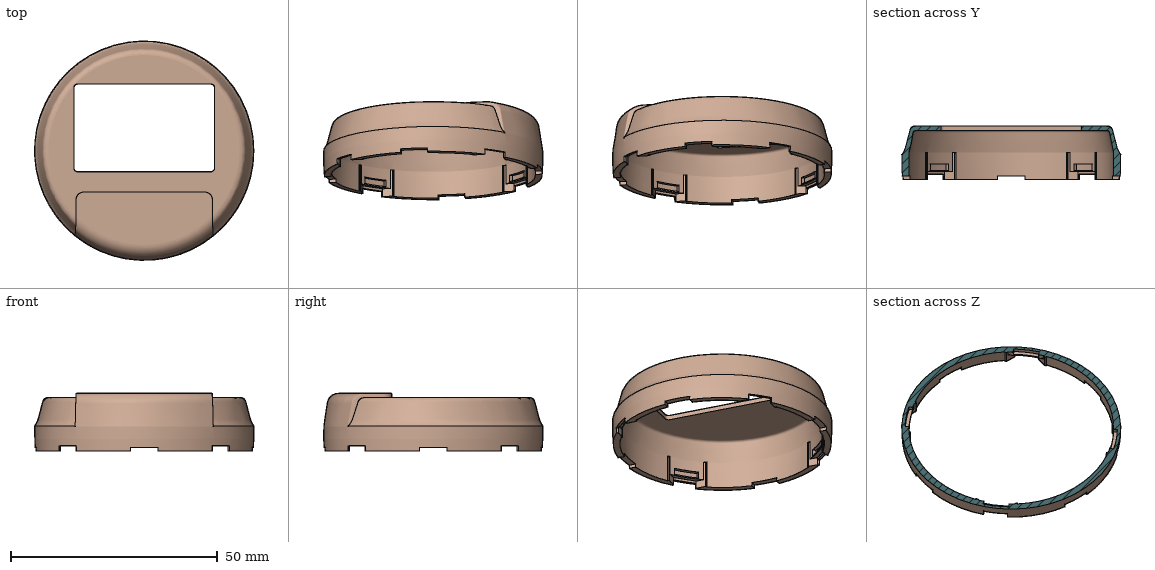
import cadquery as cq
import math

outer_radius = 26.5
past_rim = 31.8
bottom_radius = 26.35
band_bottom = 2.85
dome_foot = 6.1
dome_top = 13.0
pad_foot = 5.95
pad_top = 14.0

flat_radius = 23.05
dome_shoulder = 1.6
dome_lean = 14.5
flare_top = 7.95
flare_lean = 38.0

pad_flat_radius = 22.85
pad_shoulder = 2.8
pad_half_width = 16.7
pad_back = -9.8
pad_front = -past_rim
pad_corner = 2.1
pad_draft = 1.5
pad_edge_round = 0.2

inner_radius = 24.7
inner_wall_top = 6.5
roof_underside = 11.8
cavity_top_radius = 23.65
cavity_round = 0.65

window_length = 33.9
window_width = 21.1
window_y = 5.5
window_corner = 0.8

notch_pairs = 4
seat_angle = 45.0
side_notch_width = 6.55
side_notch_height = 0.85
clip_notch_width = 5.85
clip_notch_height = 1.25

seat_width = 10.05
seat_inner_radius = 24.45
seat_back_radius = 25.2
funnel_start = 25.7
cut_start = 23.85
funnel_height = 1.9
catch_width = 6.15
catch_bottom = 2.2
catch_top = 3.8
catch_radius = 25.6


def shoulder_end(flat, top_z, radius, lean):
    """Point where a rounded shoulder meets a wall leaning by `lean` degrees."""
    angle = math.radians(lean)
    return (flat + radius * math.cos(angle), top_z - radius * (1 - math.sin(angle)))


def cylinder(radius, height):
    return cq.Workplane("XY").circle(radius).extrude(height)


def block(x_min, x_max, width, bottom, top):
    """Box along +X, centred on the X axis."""
    return (
        cq.Workplane("XY")
        .box(x_max - x_min, width, top - bottom, centered=(False, True, False))
        .translate((x_min, 0, bottom))
    )


def make_dome():
    lean = math.radians(dome_lean)
    shoulder = shoulder_end(flat_radius, dome_top, dome_shoulder, dome_lean)
    flare_start = (shoulder[0] + (shoulder[1] - flare_top) * math.tan(lean), flare_top)
    wall_direction = (math.sin(lean), -math.cos(lean))
    flare = math.radians(flare_lean)
    foot_direction = (math.sin(flare), -math.cos(flare))
    wall_points = [(flat_radius, dome_top), shoulder, flare_start, (outer_radius, dome_foot)]
    wall_tangents = [(1, 0), wall_direction, wall_direction, foot_direction]
    base = (
        cq.Workplane("XZ")
        .lineTo(bottom_radius, 0)
        .lineTo(outer_radius, band_bottom)
        .lineTo(outer_radius, dome_foot)
        .lineTo(0, dome_foot)
        .close()
        .revolve(360, (0, 0, 0), (0, 1, 0))
    )
    cap = (
        cq.Workplane("XZ")
        .moveTo(0, dome_foot)
        .lineTo(0, dome_top)
        .lineTo(flat_radius, dome_top)
        .spline(wall_points, tangents=wall_tangents)
        .close()
        .revolve(360, (0, 0, 0), (0, 1, 0))
    )
    return base.union(cap)


def make_pad_outline():
    """Drafted block that bounds the pad at its back and sides."""
    length = pad_back - pad_front
    height = pad_top - pad_foot
    return (
        cq.Workplane("XY")
        .workplane(offset=pad_foot)
        .center(0, pad_back - length / 2)
        .sketch()
        .rect(2 * pad_half_width, length)
        .vertices(">Y")
        .fillet(pad_corner)
        .finalize()
        .extrude(height, taper=pad_draft)
    )


def make_pad(outline):
    reach = outer_radius - pad_flat_radius
    rise = pad_top - pad_shoulder - pad_foot
    to_centre = math.hypot(reach, rise)
    lean = math.degrees(math.acos(pad_shoulder / to_centre) - math.atan2(rise, reach))
    cap = (
        cq.Workplane("XZ")
        .moveTo(0, pad_foot)
        .lineTo(0, pad_top)
        .lineTo(pad_flat_radius, pad_top)
        .tangentArcPoint(shoulder_end(pad_flat_radius, pad_top, pad_shoulder, lean), relative=False)
        .lineTo(outer_radius, pad_foot)
        .close()
        .revolve(360, (0, 0, 0), (0, 1, 0))
    )
    return cap.intersect(outline).edges("|X and >Z").fillet(pad_edge_round)


def make_cavity():
    return (
        cq.Workplane("XZ")
        .lineTo(inner_radius, 0)
        .lineTo(inner_radius, inner_wall_top)
        .lineTo(cavity_top_radius, roof_underside)
        .lineTo(0, roof_underside)
        .close()
        .revolve(360, (0, 0, 0), (0, 1, 0))
        .faces(">Z")
        .edges()
        .fillet(cavity_round)
    )


def make_window():
    return (
        cq.Workplane("XY")
        .box(window_length, window_width, pad_top, centered=(True, True, False))
        .edges("|Z")
        .fillet(window_corner)
        .translate((0, window_y, 0))
    )


def make_seat():
    """Raised land of the clip seat on +X, on the inside of the ring wall."""
    land = block(0, outer_radius, seat_width, 0, inner_wall_top)
    return land.cut(cylinder(seat_inner_radius, inner_wall_top)).intersect(
        cylinder(seat_back_radius, inner_wall_top)
    )


def make_funnel(height):
    """Opening that widens at 45 degrees from the notch width toward the axis."""
    half_notch = clip_notch_width / 2
    depth = funnel_start - cut_start
    return (
        cq.Workplane("XY")
        .moveTo(funnel_start, -half_notch)
        .lineTo(cut_start, -half_notch - depth)
        .lineTo(cut_start, half_notch + depth)
        .lineTo(funnel_start, half_notch)
        .close()
        .extrude(height)
    )


def make_clip_cuts():
    """Cuts of the clip seat on +X."""
    notch = block(cut_start, past_rim, clip_notch_width, 0, clip_notch_height)
    recess = make_funnel(inner_wall_top).intersect(cylinder(inner_radius, inner_wall_top))
    catch = block(cut_start, outer_radius, catch_width, catch_bottom, catch_top)
    catch = catch.intersect(cylinder(catch_radius, catch_top))
    return notch.union(make_funnel(funnel_height)).union(recess).union(catch)


outline = make_pad_outline()
pad = make_pad(outline)
result = make_dome().cut(outline).union(pad).cut(make_cavity()).cut(make_window())

seat = make_seat()
clip_cuts = make_clip_cuts()
side_notch = block(cut_start, past_rim, side_notch_width, 0, side_notch_height)
axis_start = (0, 0, 0)
axis_end = (0, 0, 1)
for quarter in range(notch_pairs):
    turn = 360 / notch_pairs * quarter
    seat_turn = turn + seat_angle
    result = result.union(seat.rotate(axis_start, axis_end, seat_turn))
    result = result.cut(clip_cuts.rotate(axis_start, axis_end, seat_turn))
    result = result.cut(side_notch.rotate(axis_start, axis_end, turn))